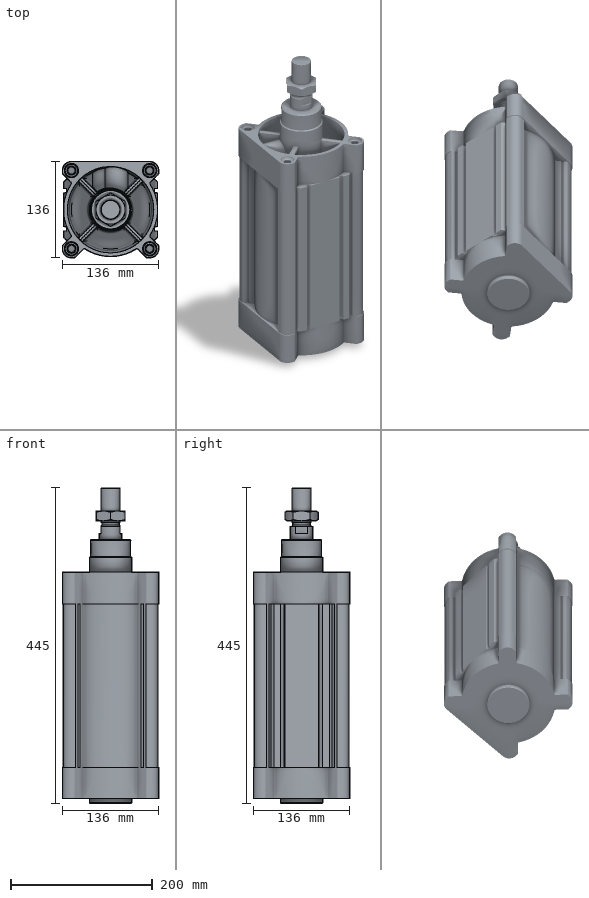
import cadquery as cq
import math


total_height = 445.0
rear_boss_height = 6.5
rear_cap_top = 50.7
front_cap_bottom = 281.2
front_cap_top = 326.0
lower_collar_top = 348.0
collar_top = 372.5
rod_shoulder = 390.5
thread_bottom = 396.0
nut_bottom = 398.5
nut_top = 412.5

cap_width = 136.0
cap_round_radius = 66.5
screw_offset = 55.0
ear_width = 24.5
ear_half_width = ear_width / 2
ear_fillet = 2.2
ear_corner_fillet = 3.0

barrel_width = 134.0
barrel_round_radius = 66.0
side_pad_reach = 66.5
side_pad_half_length = 39.0
sensor_slot_offset = 27.0
sensor_slot_width = 5.5
sensor_slot_mouth_flare = 1.0
sensor_slot_depth = 4.0
ear_slit_inner = 43.0
ear_slit_outer = 46.5
ear_slit_floor = 60.5

collar_diameter = 60.0
collar_chamfer = 1.5
upper_collar_radius = 28.5
upper_collar_waist = 0.22
rear_boss_chamfer = 1.0

recess_depth = 40.0
recess_radius = 61.0
recess_floor_radius = 57.5
hub_floor_radius = 32.5
recess_fillet = 2.2
rib_width = 7.0
rib_ridge_rise = 0.65
rib_foot_width = 10.5
rib_drop = 3.0
port_boss_diameter = 32.0
port_boss_x = 8.5
port_boss_depth = 22.2
cushion_boss_diameter = 25.0
cushion_boss_x = -13.0
cushion_boss_depth = 32.5

screw_recess_diameter = 20.0
screw_head_diameter = 18.5
screw_head_drop = 1.0
screw_rim_diameter = 18.0
screw_entry_diameter = 13.0
screw_socket_diameter = 10.2
screw_bevel_drop = 1.0
screw_socket_depth = 6.5

rod_diameter = 32.0
thread_diameter = 27.0
thread_chamfer = 0.5
neck_diameter = 25.0
neck_flare = 2.2
rod_flats = 27.0
rod_flats_bottom = 380.5
rod_bottom = front_cap_bottom
nut_across_flats = 41.0


def rotated_point(u, v, angle):
    """Point at u along and v across a direction turned by `angle` degrees from +X."""
    c = math.cos(math.radians(angle))
    s = math.sin(math.radians(angle))
    return (u * c - v * s, u * s + v * c)


def fillet_mid(center_u, center_v):
    """Middle of the ear fillet, between its touch points on the ear side and on the round outline."""
    to_axis = math.atan2(-center_v, -center_u)
    direction = (to_axis - math.pi / 2) / 2
    return (center_u + ear_fillet * math.cos(direction), center_v + ear_fillet * math.sin(direction))


def eared_profile(z, width, round_radius):
    """Round outline with four corner ears, counter-clockwise, ears on the diagonals."""
    half = width / 2
    corner_radius = half - screw_offset
    diagonal = math.sqrt(2)
    side_end = half * diagonal - ear_half_width
    corner_tip = screw_offset * diagonal + corner_radius
    fillet_v = ear_half_width + ear_fillet
    fillet_u = math.sqrt((round_radius + ear_fillet) ** 2 - fillet_v**2)
    touch = round_radius / (round_radius + ear_fillet)
    touch_u, touch_v = fillet_u * touch, fillet_v * touch
    mid_u, mid_v = fillet_mid(fillet_u, fillet_v)
    flat_u = (half + screw_offset) / diagonal
    flat_v = (half - screw_offset) / diagonal

    outline = cq.Workplane("XY").workplane(offset=z).moveTo(*rotated_point(touch_u, -touch_v, 45))
    for angle in (45, 135, 225, 315):
        outline = (
            outline.threePointArc(
                rotated_point(mid_u, -mid_v, angle), rotated_point(fillet_u, -ear_half_width, angle)
            )
            .lineTo(*rotated_point(side_end, -ear_half_width, angle))
            .lineTo(*rotated_point(flat_u, -flat_v, angle))
            .threePointArc(rotated_point(corner_tip, 0, angle), rotated_point(flat_u, flat_v, angle))
            .lineTo(*rotated_point(side_end, ear_half_width, angle))
            .lineTo(*rotated_point(fillet_u, ear_half_width, angle))
            .threePointArc(rotated_point(mid_u, mid_v, angle), rotated_point(touch_u, touch_v, angle))
            .threePointArc(
                rotated_point(round_radius, 0, angle + 45),
                rotated_point(touch_u, -touch_v, angle + 90),
            )
        )
    return outline.close()


class EarCorners(cq.Selector):
    """Upright edges where the flat outer sides of the cap ears turn towards the axis."""

    def filter(self, edges):
        half = cap_width / 2
        corner = half - ear_half_width * math.sqrt(2)
        wanted = sorted((corner, half))
        found = []
        for edge in edges:
            center = edge.Center()
            spot = sorted((abs(center.x), abs(center.y)))
            if math.dist(spot, wanted) < ear_corner_fillet / 2:
                found.append(edge)
        return found


def cap(bottom, top):
    """End cap: eared outline with the +Y side filled flat for the port."""
    body = eared_profile(bottom, cap_width, cap_round_radius).extrude(top - bottom)
    port_side = (
        cq.Workplane("XY")
        .workplane(offset=bottom)
        .rect(2 * screw_offset, cap_width / 2 - screw_offset / 2, centered=(True, False))
        .extrude(top - bottom)
        .translate((0, screw_offset / 2, 0))
    )
    return body.union(port_side).edges("|Z").edges(EarCorners()).fillet(ear_corner_fillet)


def barrel():
    """Profile tube between the caps, with slits beside the ears and flat sensor sides."""
    length = front_cap_bottom - rear_cap_top
    body = eared_profile(rear_cap_top, barrel_width, barrel_round_radius).extrude(length)

    bevel = ear_slit_outer - side_pad_half_length
    pad = (
        cq.Workplane("XY")
        .workplane(offset=rear_cap_top)
        .polyline(
            [
                (0, -ear_slit_outer),
                (side_pad_reach - bevel, -ear_slit_outer),
                (side_pad_reach, -side_pad_half_length),
                (side_pad_reach, side_pad_half_length),
                (side_pad_reach - bevel, ear_slit_outer),
                (0, ear_slit_outer),
            ]
        )
        .close()
        .extrude(length)
    )
    body = body.union(pad).union(pad.mirror("YZ"))

    slit = (
        cq.Workplane("XY")
        .box(
            ear_slit_outer - ear_slit_inner,
            barrel_width / 2 - ear_slit_floor,
            length,
            centered=False,
        )
        .translate((ear_slit_inner, ear_slit_floor, rear_cap_top))
    )
    for angle in (0, 90, 180, 270):
        turned = slit.rotate((0, 0, 0), (0, 0, 1), angle)
        mirrored = slit.mirror("YZ").rotate((0, 0, 0), (0, 0, 1), angle)
        body = body.cut(turned).cut(mirrored)

    slot_floor = side_pad_reach - sensor_slot_depth
    slot_inner = sensor_slot_offset - sensor_slot_width / 2
    slot_outer = sensor_slot_offset + sensor_slot_width / 2
    slot = (
        cq.Workplane("XY")
        .workplane(offset=rear_cap_top)
        .polyline(
            [
                (slot_floor, slot_inner),
                (side_pad_reach, slot_inner - sensor_slot_mouth_flare),
                (side_pad_reach, slot_outer),
                (slot_floor, slot_outer),
            ]
        )
        .close()
        .extrude(length)
    )
    for one_side in (slot, slot.mirror("XZ")):
        body = body.cut(one_side).cut(one_side.mirror("YZ"))
    return body


def front_recess():
    """Drafted ring pocket around the hub, crossed by four ribs and two bosses."""
    floor = front_cap_top - recess_depth
    hub_radius = collar_diameter / 2
    pocket = (
        cq.Workplane("XZ")
        .polyline(
            [
                (hub_radius, front_cap_top),
                (hub_floor_radius, floor),
                (recess_floor_radius, floor),
                (recess_radius, front_cap_top),
            ]
        )
        .close()
        .revolve(360, (0, 0, 0), (0, 1, 0))
    )

    ridge = front_cap_top - rib_drop
    rib = (
        cq.Workplane("XZ")
        .polyline(
            [
                (-rib_foot_width / 2, floor),
                (rib_foot_width / 2, floor),
                (rib_width / 2, ridge - rib_ridge_rise),
                (0, ridge),
                (-rib_width / 2, ridge - rib_ridge_rise),
            ]
        )
        .close()
        .extrude(cap_round_radius, both=True)
    )
    for angle in (45, 135):
        pocket = pocket.cut(rib.rotate((0, 0, 0), (0, 0, 1), angle))
    pocket = pocket.faces("<Z").edges().fillet(recess_fillet)

    bosses = (
        (port_boss_x, port_boss_depth, port_boss_diameter),
        (cushion_boss_x, cushion_boss_depth, cushion_boss_diameter),
    )
    for x, depth, diameter in bosses:
        boss = (
            cq.Workplane("XZ")
            .center(x, front_cap_top - depth)
            .circle(diameter / 2)
            .extrude(-cap_round_radius)
        )
        pocket = pocket.cut(boss)
    return pocket


def bearing_collar():
    """Lower plain collar and slightly waisted upper collar around the rod."""
    radius = collar_diameter / 2
    middle = (lower_collar_top + collar_top) / 2
    return (
        cq.Workplane("XZ")
        .moveTo(0, front_cap_top)
        .lineTo(radius, front_cap_top)
        .lineTo(radius, lower_collar_top - collar_chamfer)
        .lineTo(upper_collar_radius, lower_collar_top)
        .threePointArc(
            (upper_collar_radius - upper_collar_waist, middle),
            (upper_collar_radius, collar_top - collar_chamfer),
        )
        .lineTo(upper_collar_radius - collar_chamfer, collar_top)
        .lineTo(0, collar_top)
        .close()
        .revolve(360, (0, 0, 0), (0, 1, 0))
    )


def screw_recess(x, y):
    """Stepped recess of one corner cap screw in the front cap."""
    head = front_cap_top - screw_head_drop
    ring = head - screw_bevel_drop
    entry = ring - screw_bevel_drop
    bottom = front_cap_top - screw_socket_depth
    return (
        cq.Workplane("XZ")
        .polyline(
            [
                (0, front_cap_top),
                (screw_recess_diameter / 2, front_cap_top),
                (screw_recess_diameter / 2, head),
                (screw_head_diameter / 2, head),
                (screw_rim_diameter / 2, ring),
                (screw_entry_diameter / 2, ring),
                (screw_socket_diameter / 2, entry),
                (screw_socket_diameter / 2, bottom),
                (0, bottom),
            ]
        )
        .close()
        .revolve(360, (0, 0, 0), (0, 1, 0))
        .translate((x, y, 0))
    )


def make_housing():
    """One body of rear cap, barrel, front cap and bearing collar, bored for the rod."""
    rear_boss = (
        cq.Workplane("XY")
        .circle(collar_diameter / 2)
        .extrude(rear_boss_height)
        .faces("<Z")
        .chamfer(rear_boss_chamfer)
    )
    rod_bore = (
        cq.Workplane("XY")
        .workplane(offset=rod_bottom)
        .circle(rod_diameter / 2)
        .extrude(collar_top - rod_bottom)
    )
    body = (
        rear_boss.union(cap(rear_boss_height, rear_cap_top))
        .union(barrel())
        .union(cap(front_cap_bottom, front_cap_top).cut(front_recess()))
        .union(bearing_collar())
        .cut(rod_bore)
    )
    for sx in (-1, 1):
        for sy in (-1, 1):
            body = body.cut(screw_recess(sx * screw_offset, sy * screw_offset))
    return body


def make_piston_rod():
    """Rod with wrench flats, flared neck and threaded end."""
    rod = (
        cq.Workplane("XZ")
        .polyline(
            [
                (0, rod_bottom),
                (rod_diameter / 2, rod_bottom),
                (rod_diameter / 2, rod_shoulder),
                (thread_diameter / 2, rod_shoulder),
                (neck_diameter / 2, rod_shoulder + neck_flare),
                (neck_diameter / 2, thread_bottom),
                (thread_diameter / 2, thread_bottom),
                (thread_diameter / 2, total_height - thread_chamfer),
                (thread_diameter / 2 - thread_chamfer, total_height),
                (0, total_height),
            ]
        )
        .close()
        .revolve(360, (0, 0, 0), (0, 1, 0))
    )
    flats_height = rod_shoulder - rod_flats_bottom
    for side in (-1, 1):
        flat = (
            cq.Workplane("XY")
            .box(rod_diameter, rod_diameter, flats_height, centered=(True, True, False))
            .translate((side * (rod_flats + rod_diameter) / 2, 0, rod_flats_bottom))
        )
        rod = rod.cut(flat)
    return rod


def make_nut():
    """Hexagon nut with flats on the X sides and 30 degree chamfered corners."""
    corner_diameter = nut_across_flats / math.cos(math.radians(30))
    height = nut_top - nut_bottom
    chamfer_drop = (corner_diameter - nut_across_flats) / 2 * math.tan(math.radians(30))
    corner_cone = (
        cq.Workplane("XZ")
        .polyline(
            [
                (0, 0),
                (nut_across_flats / 2, 0),
                (corner_diameter / 2, chamfer_drop),
                (corner_diameter / 2, height - chamfer_drop),
                (nut_across_flats / 2, height),
                (0, height),
            ]
        )
        .close()
        .revolve(360, (0, 0, 0), (0, 1, 0))
    )
    return (
        cq.Workplane("XY")
        .polygon(6, corner_diameter)
        .extrude(height)
        .rotate((0, 0, 0), (0, 0, 1), 90)
        .intersect(corner_cone)
        .cut(cq.Workplane("XY").circle(thread_diameter / 2).extrude(height))
        .translate((0, 0, nut_bottom))
    )


housing = make_housing().solids()
piston_rod = make_piston_rod().solids()
nut = make_nut().solids()

result = cq.Compound.makeCompound([housing.val(), piston_rod.val(), nut.val()])